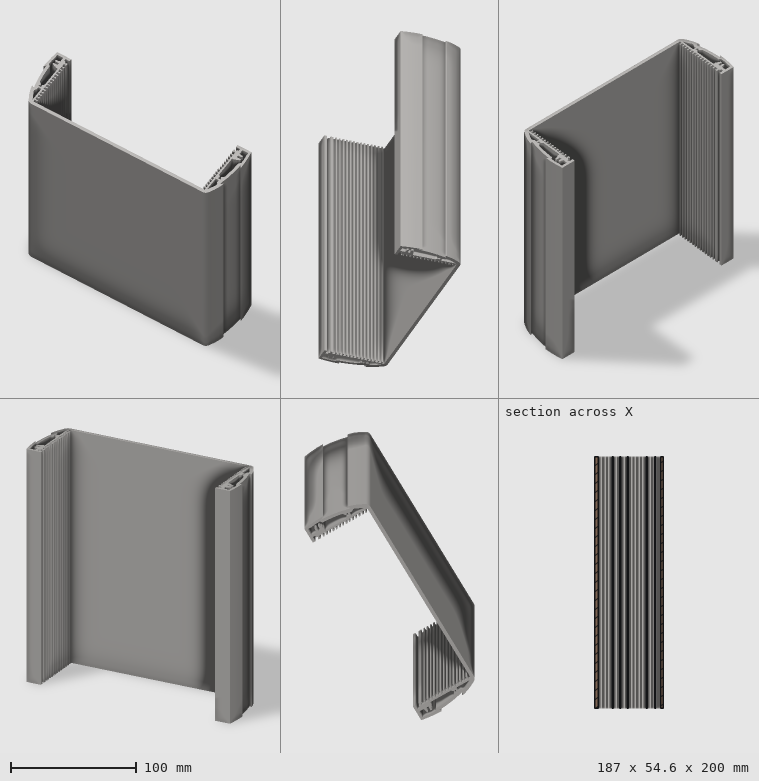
import cadquery as cq


width = 186.99
depth = 54.6
length = 200.0

base_thickness = 2.9
wall_outer = 10.9
wall_inner = 12.4
wall_top = 50.2

corner_start = 7.9
corner_height = 3.1

flange_thickness = 2.3
flange_start = 1.6
flange_end = 14.8
stem_start = 8.6
flange_underside = depth - flange_thickness

upper_lip_height = 36.7
lower_lip_height = 16.0
lower_lip_inset = 3.1
notch_floor = 15.0

skin_inner = 3.1
lower_pocket_start = 8.1
lower_pocket_bottom = 4.2
hook_neck = 7.5

clip_face = 8.6
finger_tip = 4.8
clip_bottom = 40.9

web_start = 7.0
web_bottom = 16.9
web_thickness = 1.4
web_top = web_bottom + web_thickness

tooth_count = 14
tooth_pitch = 3.0
first_tooth_height = 5.35
neck_thickness = 0.9
head_thickness = 1.2
head_start = 13.9
head_end = flange_end

top_rib_bottom = 46.9
top_rib_top = 49.4
top_neck_bottom = 47.6
top_neck_top = 48.9


def at(inset, height):
    """Position in the section plane of a point on the -X side."""
    return (inset - width / 2, height - depth / 2)


def extrude_outline(points):
    """Straight-sided outline swept over the full length."""
    corners = [at(*point) for point in points]
    return cq.Workplane("XY").polyline(corners).close().extrude(length)


def bar(inset_start, inset_end, bottom, top):
    """Rectangular bar swept over the full length."""
    return extrude_outline(
        [(inset_start, bottom), (inset_end, bottom), (inset_end, top), (inset_start, top)]
    )


def make_outer_skin():
    """Bowed side skin with two overlapping lips, down to the rounded base corner."""
    skin = (
        cq.Workplane("XY")
        .moveTo(*at(flange_start, depth))
        .threePointArc(at(0.397, 45.65), at(0, upper_lip_height))
        .lineTo(*at(0.9, 37.6))
        .lineTo(*at(1.6, 38.8))
        .threePointArc(at(2.8, 26.3), at(5.2, notch_floor))
        .lineTo(*at(4.3, notch_floor))
        .lineTo(*at(lower_lip_inset, lower_lip_height))
        .lineTo(*at(lower_lip_inset, 14.6))
        .threePointArc(at(5.1, 8.6), at(corner_start, corner_height))
        .threePointArc(at(9.6, 0.9), at(wall_inner, 0))
        .lineTo(*at(wall_inner, base_thickness))
        .lineTo(*at(wall_outer, lower_pocket_bottom))
        .lineTo(*at(7.1, 11.5))
        .lineTo(*at(6.9, 13.0))
        .lineTo(*at(lower_pocket_start, 14.6))
        .lineTo(*at(lower_pocket_start, web_bottom))
        .lineTo(*at(hook_neck, web_top))
        .lineTo(*at(hook_neck, 19.4))
        .lineTo(*at(8.3, 20.0))
        .lineTo(*at(8.0, 20.8))
        .lineTo(*at(6.0, 22.3))
        .threePointArc(at(5.0, 29.0), at(4.2, 39.6))
        .lineTo(*at(2.5, 40.8))
        .lineTo(*at(2.5, 45.0))
        .lineTo(*at(skin_inner, 49.0))
        .lineTo(*at(skin_inner, flange_underside))
        .lineTo(*at(skin_inner, depth))
        .close()
        .extrude(length)
    )
    return skin


def make_clip():
    """Block on the inner wall with two fingers reaching towards the outer skin."""
    return extrude_outline(
        [
            (stem_start, 48.2),
            (7.4, 47.8),
            (5.6, 47.6),
            (finger_tip, 47.1),
            (finger_tip, 46.5),
            (5.5, 45.9),
            (clip_face, 45.9),
            (clip_face, 44.0),
            (finger_tip, 44.1),
            (finger_tip, 42.6),
            (6.2, 42.4),
            (7.0, 41.7),
            (clip_face, 41.4),
            (clip_face, clip_bottom),
            (wall_inner, clip_bottom),
            (wall_inner, wall_top),
            (stem_start, wall_top),
        ]
    )


def make_web():
    """Web across to the inner wall, with a hook nib standing beside the wall."""
    web = bar(web_start, wall_inner, web_bottom, web_top)
    nib = extrude_outline(
        [(wall_outer, web_top), (9.6, web_top), (9.3, 20.5), (wall_outer, 21.8)]
    )
    return web.union(nib)


def make_teeth():
    """Row of T-shaped teeth along the inner wall and the taller rib above them."""
    teeth = bar(wall_outer, head_end, top_neck_bottom, top_neck_top)
    teeth = teeth.union(bar(head_start, head_end, top_rib_bottom, top_rib_top))
    for index in range(tooth_count):
        center = first_tooth_height + index * tooth_pitch
        neck = bar(wall_outer, head_end, center - neck_thickness / 2, center + neck_thickness / 2)
        head = bar(head_start, head_end, center - head_thickness / 2, center + head_thickness / 2)
        teeth = teeth.union(neck).union(head)
    return teeth


def make_side():
    """Everything on the -X side, with half of the base."""
    side = make_outer_skin()
    side = side.union(bar(flange_start, flange_end, flange_underside, depth))
    side = side.union(bar(stem_start, wall_outer, wall_top, depth))
    side = side.union(bar(wall_outer, wall_inner, base_thickness / 2, wall_top))
    side = side.union(bar(wall_inner, width / 2, 0, base_thickness))
    side = side.union(make_clip())
    side = side.union(make_web())
    side = side.union(make_teeth())
    return side


side = make_side()
result = side.union(side.mirror("YZ")).clean()